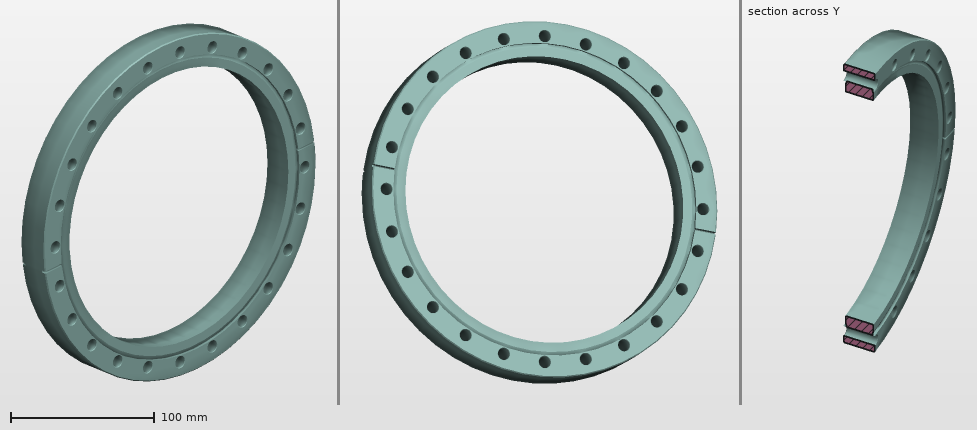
import cadquery as cq
import math

outer_diameter = 253.2
thickness = 24.5
bore_diameter = 203.5
rim_chamfer = 0.8

recess_diameter = 222.0
knife_tip_diameter = 216.8
knife_tip_depth = 1.3
knife_slope = 20.0

hole_count = 24
hole_pitch_angle = 360.0 / hole_count
bolt_circle_diameter = 232.0
hole_diameter = 8.4
hole_chamfer = 0.38

groove_width = 1.5
groove_depth = 3.5
groove_overrun = 2.5
groove_angle = hole_pitch_angle / 2

outer_radius = outer_diameter / 2
bore_radius = bore_diameter / 2
recess_radius = recess_diameter / 2
knife_tip_radius = knife_tip_diameter / 2
half_thickness = thickness / 2


def ring_with_knife_edges():
    """Revolve the ring section, with the recess and knife edge on each face."""
    knife_drop = (recess_radius - knife_tip_radius) * math.tan(math.radians(knife_slope))
    knife_tip_x = half_thickness - knife_tip_depth
    recess_foot_x = knife_tip_x - knife_drop
    half_section = [
        (knife_tip_x, bore_radius),
        (knife_tip_x, knife_tip_radius),
        (recess_foot_x, recess_radius),
        (half_thickness, recess_radius),
        (half_thickness, outer_radius - rim_chamfer),
        (half_thickness - rim_chamfer, outer_radius),
    ]
    mirrored_section = [(-x, radius) for x, radius in reversed(half_section)]
    section = cq.Workplane("XY").polyline(half_section + mirrored_section).close()
    return section.revolve(360, (0, 0, 0), (1, 0, 0))


def bolt_holes():
    """Cutter for the through holes, with a chamfer at each end of every hole."""
    hole_radius = hole_diameter / 2
    mouth_radius = hole_radius + hole_chamfer
    chamfer_start_x = half_thickness - hole_chamfer
    hole_section = [
        (-half_thickness, 0),
        (-half_thickness, mouth_radius),
        (-chamfer_start_x, hole_radius),
        (chamfer_start_x, hole_radius),
        (half_thickness, mouth_radius),
        (half_thickness, 0),
    ]
    hole = cq.Workplane("XY").polyline(hole_section).close().revolve(360, (0, 0, 0), (1, 0, 0))
    hole = hole.translate((0, bolt_circle_diameter / 2, 0))
    holes = cq.Workplane("XY")
    for index in range(hole_count):
        holes = holes.add(hole.rotate((0, 0, 0), (1, 0, 0), index * hole_pitch_angle))
    return holes.combine()


def leak_check_grooves():
    """Two opposite grooves per face, from the recess out through the rim."""
    groove_start = math.sqrt(recess_radius**2 - (groove_width / 2) ** 2)
    groove_end = outer_radius + groove_overrun
    groove_length = groove_end - groove_start
    groove_middle = (groove_start + groove_end) / 2
    grooves = cq.Workplane("XY")
    for face_x in (-half_thickness, half_thickness):
        for side in (-1, 1):
            groove = cq.Workplane("XY").box(2 * groove_depth, groove_length, groove_width)
            groove = groove.translate((face_x, side * groove_middle, 0))
            grooves = grooves.add(groove)
    return grooves.combine().rotate((0, 0, 0), (1, 0, 0), groove_angle)


result = ring_with_knife_edges().cut(bolt_holes()).cut(leak_check_grooves())